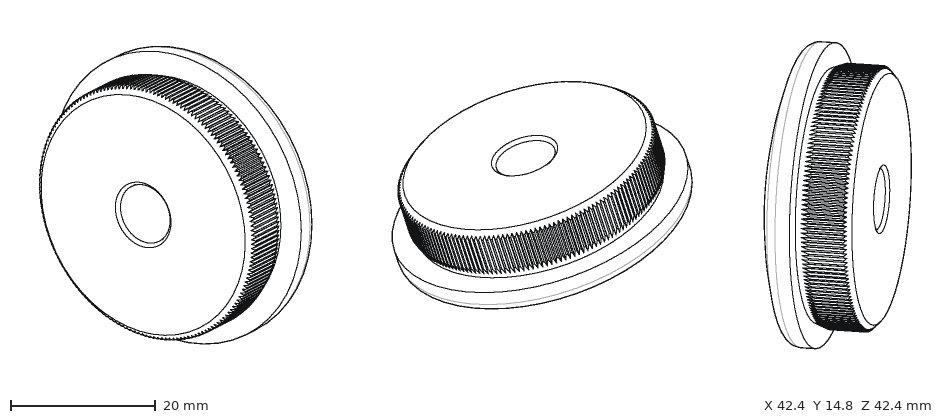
import cadquery as cq
import math

total_length = 14.75
flange_radius = 21.2
flange_start = 7.95
rim_fillet = 1.5
dome_radius = 58.5
dome_land_radius = 5.5

spigot_radius = 18.45
end_chamfer = 1.0
taper_start = 6.0
neck_radius = 17.72

groove_count = 170
groove_depth = 0.4
groove_angle = math.radians(60)
groove_overshoot = 0.13

bore_radius = 4.25
bore_chamfer = 0.5


def turned(profile):
    """Revolve a closed (radius, length) profile in the XY plane about the Y axis."""
    return profile.close().revolve(360, (0, 0, 0), (0, 1, 0))


def make_spigot():
    profile = (
        cq.Workplane("XY")
        .lineTo(spigot_radius - end_chamfer, 0)
        .lineTo(spigot_radius, end_chamfer)
        .lineTo(spigot_radius, taper_start)
        .lineTo(neck_radius, flange_start)
        .lineTo(0, flange_start)
    )
    return turned(profile)


def make_knurl_cutters():
    """One triangular prism per groove, long enough to run out through the taper."""
    tip_radius = spigot_radius - groove_depth
    mouth_radius = spigot_radius + groove_overshoot
    half_mouth = (mouth_radius - tip_radius) * math.tan(groove_angle / 2)
    prism = (
        cq.Workplane("XZ")
        .polyline([(tip_radius, 0), (mouth_radius, half_mouth), (mouth_radius, -half_mouth)])
        .close()
        .extrude(-flange_start)
        .val()
    )
    pitch = 360 / groove_count
    angles = [(i + 0.5) * pitch for i in range(groove_count)]
    return cq.Compound.makeCompound([prism.rotate((0, 0, 0), (0, 1, 0), a) for a in angles])


def make_domed_flange():
    dome_center = total_length - math.sqrt(dome_radius**2 - dome_land_radius**2)

    def dome_point(radius):
        return radius, dome_center + math.sqrt(dome_radius**2 - radius**2)

    fillet_radial = flange_radius - rim_fillet
    fillet_axial = dome_center + math.sqrt((dome_radius - rim_fillet) ** 2 - fillet_radial**2)
    touch_angle = math.asin(fillet_radial / (dome_radius - rim_fillet))
    touch_radius = dome_radius * math.sin(touch_angle)
    middle_radius = (touch_radius + dome_land_radius) / 2

    profile = (
        cq.Workplane("XY")
        .moveTo(0, flange_start)
        .lineTo(flange_radius, flange_start)
        .lineTo(flange_radius, fillet_axial)
        .tangentArcPoint(dome_point(touch_radius), relative=False)
        .threePointArc(dome_point(middle_radius), dome_point(dome_land_radius))
        .lineTo(0, total_length)
    )
    return turned(profile)


def make_bore():
    mouth_radius = bore_radius + bore_chamfer
    profile = (
        cq.Workplane("XY")
        .lineTo(mouth_radius, 0)
        .lineTo(bore_radius, bore_chamfer)
        .lineTo(bore_radius, total_length)
        .lineTo(0, total_length)
    )
    return turned(profile)


knurled_spigot = make_spigot().cut(cq.Workplane(make_knurl_cutters()))
result = knurled_spigot.union(make_domed_flange()).cut(make_bore())